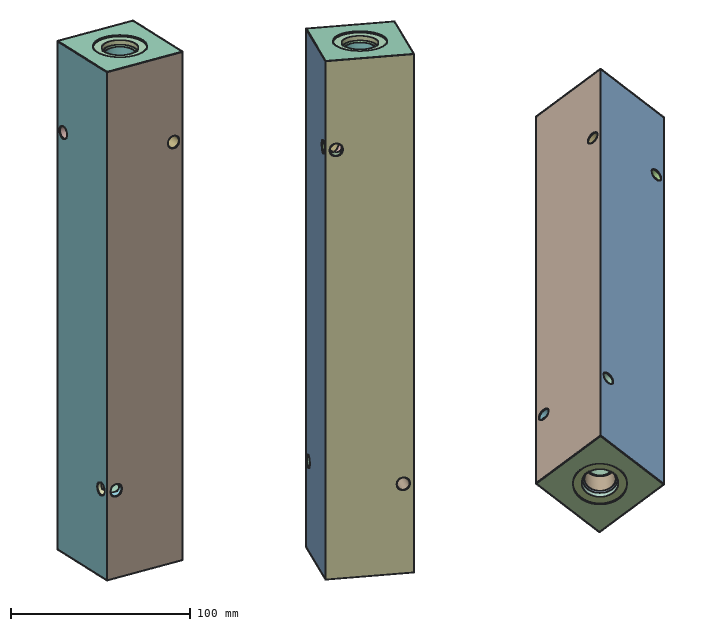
import cadquery as cq
import math

LENGTH = 311.0
SIDE = 50.7
EDGE_CHAMFER = 0.25

BORE_DIAMETER = 16.0

SPOTFACE_DIAMETER = 30.2
SPOTFACE_DEPTH = 1.0
SEAT_DIAMETER = 20.5
SEAT_DEPTH = 2.5
SEAT_HALF_ANGLE = 15
THREAD_HOLE_DIAMETER = 17.5
THREAD_HOLE_DEPTH = 15.5

CROSS_HOLE_DIAMETER = 7.2
CROSS_HOLE_CHAMFER = 0.3
CROSS_HOLE_EDGE_DISTANCE = 6.2
CROSS_HOLE_END_DISTANCE = 53.8

cross_offset = SIDE / 2 - CROSS_HOLE_EDGE_DISTANCE
cross_height = LENGTH / 2 - CROSS_HOLE_END_DISTANCE


def port():
    """Cutter for the port in the top face, turned about the Z axis."""
    seat_radius = SEAT_DIAMETER / 2
    seat_end_radius = seat_radius - SEAT_DEPTH * math.tan(math.radians(SEAT_HALF_ANGLE))
    thread_radius = THREAD_HOLE_DIAMETER / 2
    lead_in_depth = seat_end_radius - thread_radius

    face = LENGTH / 2
    spotface_floor = face - SPOTFACE_DEPTH
    seat_end = spotface_floor - SEAT_DEPTH
    thread_start = seat_end - lead_in_depth
    thread_end = spotface_floor - THREAD_HOLE_DEPTH
    return (
        cq.Workplane("XZ")
        .moveTo(0, face)
        .lineTo(SPOTFACE_DIAMETER / 2, face)
        .lineTo(SPOTFACE_DIAMETER / 2, spotface_floor)
        .lineTo(seat_radius, spotface_floor)
        .lineTo(seat_end_radius, seat_end)
        .lineTo(thread_radius, thread_start)
        .lineTo(thread_radius, thread_end)
        .lineTo(0, thread_end)
        .close()
        .revolve(360, (0, 0, 0), (0, 1, 0))
    )


def cross_hole():
    """Cutter for a hole along Y through the bar, chamfered at both mouths."""
    radius = CROSS_HOLE_DIAMETER / 2
    mouth_radius = radius + CROSS_HOLE_CHAMFER
    mouth = SIDE / 2
    throat = mouth - CROSS_HOLE_CHAMFER
    return (
        cq.Workplane("XY")
        .moveTo(0, -mouth)
        .lineTo(mouth_radius, -mouth)
        .lineTo(radius, -throat)
        .lineTo(radius, throat)
        .lineTo(mouth_radius, mouth)
        .lineTo(0, mouth)
        .close()
        .revolve(360, (0, 0, 0), (0, 1, 0))
    )


result = cq.Workplane("XY").box(SIDE, SIDE, LENGTH).edges().chamfer(EDGE_CHAMFER)

result = result.cut(cq.Workplane("XY").circle(BORE_DIAMETER / 2).extrude(LENGTH / 2, both=True))
result = result.cut(port()).cut(port().mirror("XY"))

along_y = cross_hole()
along_x = cross_hole().rotate((0, 0, 0), (0, 0, 1), 90)
for end in (1, -1):
    result = result.cut(along_y.translate((-end * cross_offset, 0, end * cross_height)))
    result = result.cut(along_x.translate((0, end * cross_offset, end * cross_height)))